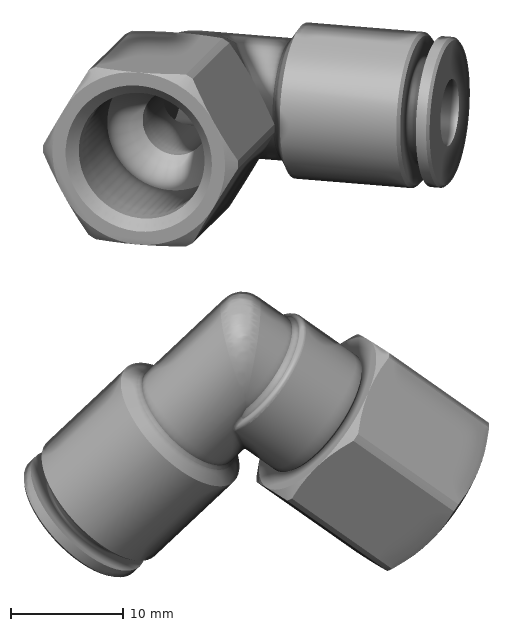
import cadquery as cq
import math


arm_radius = 5.48
corner_tangent_ratio = 0.54

arm_end_x = 7.8
cone_start_x = 8.08
cone_start_radius = 5.77
collar_start_x = 8.9
collar_end_x = 20.0
collar_diameter = 13.98
collar_radius = collar_diameter / 2
collar_chamfer = 0.3
neck_radius = 4.72
neck_fillet = 0.22
ring_start_x = 21.45
ring_end_x = 22.65
ring_radius = 6.75
ring_chamfer = 0.25

sleeve_diameter = 12.52
sleeve_radius = sleeve_diameter / 2
sleeve_top_y = -1.27
sleeve_top_round = 0.48
sleeve_foot_chamfer = 0.2
valley_fillet = 0.25
root_rise = 0.5

nut_top_y = -8.5
overall_depth = 28.5
nut_end_y = collar_radius - overall_depth
nut_length = nut_top_y - nut_end_y
across_flats = 16.0
corner_radius = 9.05
nut_chamfer_angle = 30

bore_radius = 3.0
thread_radius = 5.83
thread_chamfer = 0.95
thread_depth = 10.15
drill_cone_angle = 30


def revolve_about_x(profile):
    return profile.close().revolve(360, (0, 0, 0), (1, 0, 0))


def revolve_about_y(profile):
    return profile.close().revolve(360, (0, 0, 0), (0, 1, 0))


def make_corner():
    """Ellipsoid wedge about Z that is tangent to both arm cylinders."""
    wedge_angle = math.degrees(math.acos(corner_tangent_ratio))
    ball_wedge = (
        cq.Workplane("XZ")
        .moveTo(0, -arm_radius)
        .threePointArc((arm_radius, 0), (0, arm_radius))
        .close()
        .revolve(wedge_angle, (0, 0, 0), (0, 1, 0))
        .rotate((0, 0, 0), (0, 0, 1), -wedge_angle / 2)
    )
    long_scale = math.sqrt(1 + corner_tangent_ratio)
    short_scale = math.sqrt(1 - corner_tangent_ratio)
    stretch = cq.Matrix([[long_scale, 0, 0, 0], [0, short_scale, 0, 0], [0, 0, 1, 0]])
    ellipsoid_wedge = ball_wedge.val().transformGeometry(stretch)
    return cq.Workplane(ellipsoid_wedge).rotate((0, 0, 0), (0, 0, 1), 135)


def make_arm(length):
    """Cylinder along +X, cut where the rounded corner begins."""
    reach = 2 * arm_radius
    cylinder = cq.Workplane("YZ", origin=(-reach, 0, 0)).circle(arm_radius).extrude(reach + length)
    keep = (
        cq.Workplane("XY")
        .polyline([
            (0, 0),
            (-corner_tangent_ratio * reach, reach),
            (length, reach),
            (length, -reach),
            (0, -reach),
        ])
        .close()
        .extrude(reach, both=True)
    )
    return cylinder.intersect(keep)


def make_elbow():
    tube_arm = make_arm(arm_end_x)
    nut_arm = make_arm(-nut_top_y).rotate((0, 0, 0), (1, -1, 0), 180)
    return tube_arm.union(nut_arm).union(make_corner())


def make_tube_end():
    profile = (
        cq.Workplane("XY")
        .moveTo(0, 0)
        .lineTo(0, neck_radius)
        .lineTo(arm_end_x, neck_radius)
        .lineTo(arm_end_x, arm_radius)
        .lineTo(cone_start_x, cone_start_radius)
        .lineTo(collar_start_x, collar_radius)
        .lineTo(collar_end_x - collar_chamfer, collar_radius)
        .lineTo(collar_end_x, collar_radius - collar_chamfer)
        .lineTo(collar_end_x, neck_radius + neck_fillet)
        .radiusArc((collar_end_x + neck_fillet, neck_radius), -neck_fillet)
        .lineTo(ring_start_x - neck_fillet, neck_radius)
        .radiusArc((ring_start_x, neck_radius + neck_fillet), -neck_fillet)
        .lineTo(ring_start_x, ring_radius)
        .lineTo(ring_end_x - ring_chamfer, ring_radius)
        .lineTo(ring_end_x, ring_radius - ring_chamfer)
        .lineTo(ring_end_x, 0)
    )
    return revolve_about_x(profile)


def make_sleeve():
    profile = (
        cq.Workplane("XY")
        .moveTo(0, nut_top_y)
        .lineTo(sleeve_radius - sleeve_foot_chamfer, nut_top_y)
        .lineTo(sleeve_radius, nut_top_y + sleeve_foot_chamfer)
        .lineTo(sleeve_radius, sleeve_top_y - sleeve_top_round)
        .radiusArc((sleeve_radius - sleeve_top_round, sleeve_top_y), -sleeve_top_round)
        .lineTo(arm_radius, sleeve_top_y + root_rise)
        .lineTo(0, sleeve_top_y + root_rise)
    )
    return revolve_about_y(profile)


def make_nut():
    across_corners = across_flats / math.cos(math.radians(30))
    hexagon = (
        cq.Workplane("XZ", origin=(0, nut_top_y, 0))
        .polygon(6, across_corners)
        .extrude(nut_length)
    )
    face_radius = across_flats / 2
    bevel = (corner_radius - face_radius) * math.tan(math.radians(nut_chamfer_angle))
    envelope = (
        cq.Workplane("XY")
        .moveTo(0, nut_top_y)
        .lineTo(face_radius, nut_top_y)
        .lineTo(corner_radius, nut_top_y - bevel)
        .lineTo(corner_radius, nut_end_y + bevel)
        .lineTo(face_radius, nut_end_y)
        .lineTo(0, nut_end_y)
    )
    return hexagon.intersect(revolve_about_y(envelope))


def make_bores():
    thread_end_y = nut_end_y + thread_depth
    drill_cone = (thread_radius - bore_radius) * math.tan(math.radians(drill_cone_angle))
    profile = (
        cq.Workplane("XY")
        .moveTo(0, nut_end_y)
        .lineTo(thread_radius + thread_chamfer, nut_end_y)
        .lineTo(thread_radius, nut_end_y + thread_chamfer)
        .lineTo(thread_radius, thread_end_y)
        .lineTo(bore_radius, thread_end_y + drill_cone)
        .lineTo(bore_radius, 0)
        .lineTo(0, 0)
    )
    tube_bore = (
        cq.Workplane("YZ", origin=(-bore_radius, 0, 0))
        .circle(bore_radius)
        .extrude(bore_radius + ring_end_x)
    )
    return revolve_about_y(profile).union(tube_bore)


body = make_elbow().union(make_tube_end()).union(make_sleeve())

valley_corner_low = (neck_radius, -arm_radius, -arm_radius)
valley_corner_high = (arm_radius, -bore_radius, arm_radius)
valley = body.edges(cq.selectors.BoxSelector(valley_corner_low, valley_corner_high))
body = valley.fillet(valley_fillet)

result = body.union(make_nut()).cut(make_bores())